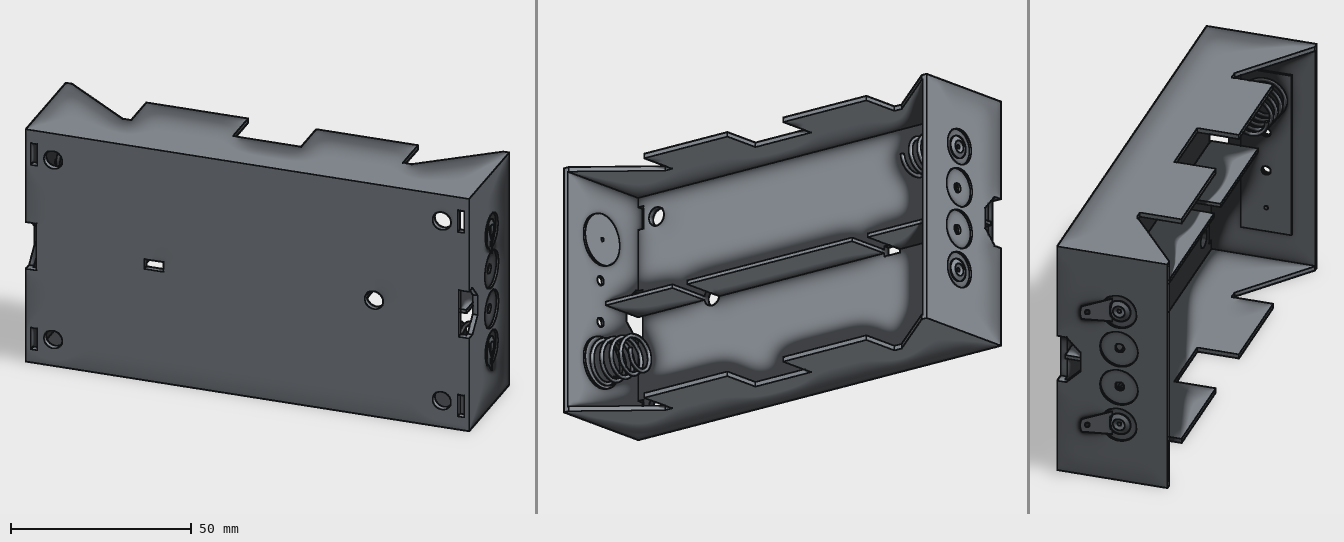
import cadquery as cq
import math


OVERALL_LENGTH = 134.6
LENGTH = 130.7
WIDTH = 71.1
END_HEIGHT = 32.2
FLOOR = 1.9
SIDE_WALL = 1.3
END_WALL = 1.5
HALF_LENGTH = LENGTH / 2
HALF_WIDTH = WIDTH / 2

SIDE_HEIGHT = 15.8
TAB_HEIGHT = 27.9
TAB_LENGTH = 30.0
TAB_FROM_END = 25.3
SLOPE_START = 1.8
SLOPE_END = 22.8

SCREW_HOLE_RADIUS = 2.7
SCREW_HOLE_INSET = 8.1
CENTRE_HOLE_X = 37.3
CENTRE_SLOT_X = -27.6
CENTRE_SLOT_LENGTH = 5.7
CENTRE_SLOT_WIDTH = 3.0
CORNER_SLOT_LENGTH = 6.6
CORNER_SLOT_INSET = 4.0
CORNER_SLOT_END = 3.4

NOTCH_HALF_WIDTH = 7.1
NOTCH_HALF_TOP = 3.0
NOTCH_HEIGHT = 6.9
NOTCH_SHOULDER = NOTCH_HEIGHT - (NOTCH_HALF_WIDTH - NOTCH_HALF_TOP)
NOTCH_DEPTH = 3.1

DIVIDER = 1.1
DIVIDER_HEIGHT = SIDE_HEIGHT

CELL_Y = 18.0
CELL_Z = 17.9
RIVET_RECESS_RADIUS = 5.1
WIRE_RECESS_Z = 6.0
WIRE_RECESS_RADIUS = 5.5
WIRE_HOLE_RADIUS = 1.3
RECESS_DEPTH = 0.7

CONTACT_THICKNESS = 0.7
BRIDGE_HALF_HEIGHT = 7.4
BRIDGE_OVERHANG = 7.4
SEAT_RADIUS = 7.4

RIVET_HEAD_RADIUS = 3.2
RIVET_HEAD_EDGE = 0.3
RIVET_SHANK_RADIUS = 1.8
RIVET_BORE_RADIUS = 0.5

LUG_THICKNESS = 0.3
LUG_ROOT_DROP = 2.0
LUG_TIP_DROP = 10.0
LUG_REACH = OVERALL_LENGTH - LENGTH
LUG_ROOT_WIDTH = 7.3
LUG_TIP_WIDTH = 4.0
LUG_TIP_BULGE = 0.4
LUG_HOLE_RADIUS = 0.7
LUG_HOLE_FROM_TIP = 2.0

WIRE_RADIUS = 0.5
COIL_BASE_RADIUS = 6.2
COIL_TIP_RADIUS = 5.0
COIL_PITCH = 3.2
SPRING_TIP_INSET = 16.4

SEAT = END_WALL + CONTACT_THICKNESS
SPRING_ROW_LEFT = 1
SPRING_ROW_RIGHT = -1


def box(x_range, y_range, z_range):
    """Axis-aligned block between the given limits."""
    size = [high - low for low, high in (x_range, y_range, z_range)]
    return cq.Workplane("XY").box(*size, centered=False).translate((x_range[0], y_range[0], z_range[0]))


def rod(x_start, x_end, radius, y, z):
    """Cylinder along X."""
    axis = cq.Vector(x_end - x_start, 0, 0)
    return cq.Workplane(cq.Solid.makeCylinder(radius, axis.Length, cq.Vector(x_start, y, z), axis))


def floor_hole(x, z):
    """Round cutter along Y, long enough to clear the whole tray."""
    base = cq.Vector(x, 0, z)
    return cq.Workplane(cq.Solid.makeCylinder(SCREW_HOLE_RADIUS, END_HEIGHT, base, cq.Vector(0, 1, 0)))


def side_wall(z):
    """Wall with two tabs and a slope up to each end; z is its lower face."""
    tab_outer = HALF_LENGTH - TAB_FROM_END
    tab_inner = tab_outer - TAB_LENGTH
    right_half = [
        (tab_inner, SIDE_HEIGHT),
        (tab_inner, TAB_HEIGHT),
        (tab_outer, TAB_HEIGHT),
        (tab_outer, SIDE_HEIGHT),
        (HALF_LENGTH - SLOPE_END, SIDE_HEIGHT),
        (HALF_LENGTH - SLOPE_START, END_HEIGHT),
        (HALF_LENGTH, END_HEIGHT),
        (HALF_LENGTH, 0),
    ]
    left_half = [(-x, y) for x, y in reversed(right_half)]
    return cq.Workplane("XY").polyline(right_half + left_half).close().extrude(SIDE_WALL).translate((0, 0, z))


def end_wall_cutter(side):
    """Wire notch, recesses and holes of one end wall; side is -1 or 1."""
    outer = side * HALF_LENGTH
    inner = outer - side * END_WALL
    notch_outline = [
        (0, -NOTCH_HALF_WIDTH),
        (NOTCH_SHOULDER, -NOTCH_HALF_WIDTH),
        (NOTCH_HEIGHT, -NOTCH_HALF_TOP),
        (NOTCH_HEIGHT, NOTCH_HALF_TOP),
        (NOTCH_SHOULDER, NOTCH_HALF_WIDTH),
        (0, NOTCH_HALF_WIDTH),
    ]
    outer_face = cq.Workplane("YZ", origin=(outer, 0, 0))
    cutter = outer_face.polyline(notch_outline).close().extrude(-side * END_WALL)
    notch_x = sorted((outer, outer - side * NOTCH_DEPTH))
    cutter = cutter.union(box(notch_x, (0, FLOOR), (-NOTCH_HALF_WIDTH, NOTCH_HALF_WIDTH)))
    for row in (-1, 1):
        for z, recess_radius, hole_radius in (
            (row * CELL_Z, RIVET_RECESS_RADIUS, RIVET_SHANK_RADIUS),
            (row * WIRE_RECESS_Z, WIRE_RECESS_RADIUS, WIRE_HOLE_RADIUS),
        ):
            cutter = cutter.union(rod(outer, outer - side * RECESS_DEPTH, recess_radius, CELL_Y, z))
            cutter = cutter.union(rod(outer, inner, hole_radius, CELL_Y, z))
    return cutter


def make_tray():
    across_x = (-HALF_LENGTH, HALF_LENGTH)
    across_z = (-HALF_WIDTH, HALF_WIDTH)
    tray = box(across_x, (0, FLOOR), across_z)
    tray = tray.union(side_wall(-HALF_WIDTH)).union(side_wall(HALF_WIDTH - SIDE_WALL))
    for side in (-1, 1):
        wall_x = sorted((side * HALF_LENGTH, side * (HALF_LENGTH - END_WALL)))
        tray = tray.union(box(wall_x, (0, END_HEIGHT), across_z))
        tray = tray.cut(end_wall_cutter(side))
        slot_x = sorted((side * (HALF_LENGTH - END_WALL), side * (HALF_LENGTH - CORNER_SLOT_END)))
        for row in (-1, 1):
            slot_outer_z = row * (HALF_WIDTH - CORNER_SLOT_INSET)
            slot_z = sorted((slot_outer_z, slot_outer_z - row * CORNER_SLOT_LENGTH))
            tray = tray.cut(box(slot_x, (0, FLOOR), slot_z))
            hole_x = side * (HALF_LENGTH - SCREW_HOLE_INSET)
            hole_z = row * (HALF_WIDTH - SCREW_HOLE_INSET)
            tray = tray.cut(floor_hole(hole_x, hole_z))

    divider_x = (-HALF_LENGTH + SEAT, HALF_LENGTH - END_WALL)
    tray = tray.union(box(divider_x, (FLOOR, DIVIDER_HEIGHT), (-DIVIDER / 2, DIVIDER / 2)))
    tray = tray.cut(floor_hole(CENTRE_HOLE_X, 0))
    slot_x = (CENTRE_SLOT_X - CENTRE_SLOT_LENGTH / 2, CENTRE_SLOT_X + CENTRE_SLOT_LENGTH / 2)
    return tray.cut(box(slot_x, (0, END_HEIGHT), (-CENTRE_SLOT_WIDTH / 2, CENTRE_SLOT_WIDTH / 2)))




def make_rivet(seat):
    """Hollow rivet with a conical head sunk in the wall recess; its bore ends at the seat."""
    outline = [
        (RECESS_DEPTH - RIVET_HEAD_EDGE, RIVET_BORE_RADIUS),
        (0, RIVET_SHANK_RADIUS),
        (RECESS_DEPTH - RIVET_HEAD_EDGE, RIVET_HEAD_RADIUS),
        (RECESS_DEPTH, RIVET_HEAD_RADIUS),
        (RECESS_DEPTH, RIVET_SHANK_RADIUS),
        (seat, RIVET_SHANK_RADIUS),
        (seat, RIVET_BORE_RADIUS),
    ]
    return cq.Workplane("XY").polyline(outline).close().revolve(360, (0, 0, 0), (1, 0, 0))


def make_bridge():
    """Flat strip behind the left end wall, riveted at both rows and joining them."""
    half_span = CELL_Z + BRIDGE_OVERHANG
    strip = box((END_WALL, SEAT), (-BRIDGE_HALF_HEIGHT, BRIDGE_HALF_HEIGHT), (-half_span, half_span))
    for row in (-1, 1):
        strip = strip.cut(rod(END_WALL, SEAT, WIRE_HOLE_RADIUS, 0, row * WIRE_RECESS_Z))
        strip = strip.cut(rod(END_WALL, SEAT, RIVET_BORE_RADIUS, 0, row * CELL_Z))
        strip = strip.union(make_rivet(SEAT).translate((0, 0, row * CELL_Z)))
    return strip


def make_lug_contact():
    """Round contact plate, its rivet through the wall and the solder lug outside."""
    plate = rod(END_WALL, SEAT, SEAT_RADIUS, 0, 0)
    plate = plate.cut(rod(END_WALL, SEAT, RIVET_BORE_RADIUS, 0, 0))
    root = cq.Vector(RECESS_DEPTH - LUG_THICKNESS, -LUG_ROOT_DROP, 0)
    tip = cq.Vector(-LUG_REACH, -LUG_TIP_DROP, 0)
    along = tip - root
    lug_plane = cq.Plane(origin=root, xDir=along, normal=along.cross(cq.Vector(0, 0, 1)))
    shoulder = along.Length - LUG_TIP_BULGE
    lug = (
        cq.Workplane(lug_plane)
        .moveTo(0, -LUG_ROOT_WIDTH / 2)
        .lineTo(shoulder, -LUG_TIP_WIDTH / 2)
        .threePointArc((along.Length, 0), (shoulder, LUG_TIP_WIDTH / 2))
        .lineTo(0, LUG_ROOT_WIDTH / 2)
        .close()
        .moveTo(along.Length - LUG_HOLE_FROM_TIP, 0)
        .circle(LUG_HOLE_RADIUS)
        .extrude(-LUG_THICKNESS)
    )
    return plate.union(make_rivet(SEAT)).union(lug)


def make_spring(seat):
    """Tapered coil, ground flat on its seat, whose wire ends at its highest Y."""
    height = SPRING_TIP_INSET - seat
    taper = math.degrees(math.atan((COIL_TIP_RADIUS - COIL_BASE_RADIUS) / height))
    path = cq.Wire.makeHelix(COIL_PITCH, height, COIL_BASE_RADIUS, angle=taper)
    coil = cq.Workplane("XZ", origin=(COIL_BASE_RADIUS, 0, 0)).circle(WIRE_RADIUS).sweep(path, isFrenet=True)
    coil = coil.rotate((0, 0, 0), (0, 0, 1), -360 * height / COIL_PITCH)
    coil = coil.rotate((0, 0, 0), (1, 1, 1), 120)
    return coil.cut(rod(-COIL_PITCH, 0, 2 * COIL_BASE_RADIUS, 0, 0)).translate((seat, 0, 0))


def place_left(contact, row):
    return contact.translate((-HALF_LENGTH, CELL_Y, row * CELL_Z))


def place_right(contact, row):
    return contact.mirror("YZ").translate((HALF_LENGTH, CELL_Y, row * CELL_Z))


tray = make_tray()
bridge = place_left(make_bridge(), 0)
lug_contacts = [place_right(make_lug_contact(), row) for row in (-1, 1)]
springs = [
    place_left(make_spring(SEAT), SPRING_ROW_LEFT),
    place_right(make_spring(SEAT), SPRING_ROW_RIGHT),
]

result = cq.Compound.makeCompound([body.val() for body in [tray, bridge, *lug_contacts, *springs]])